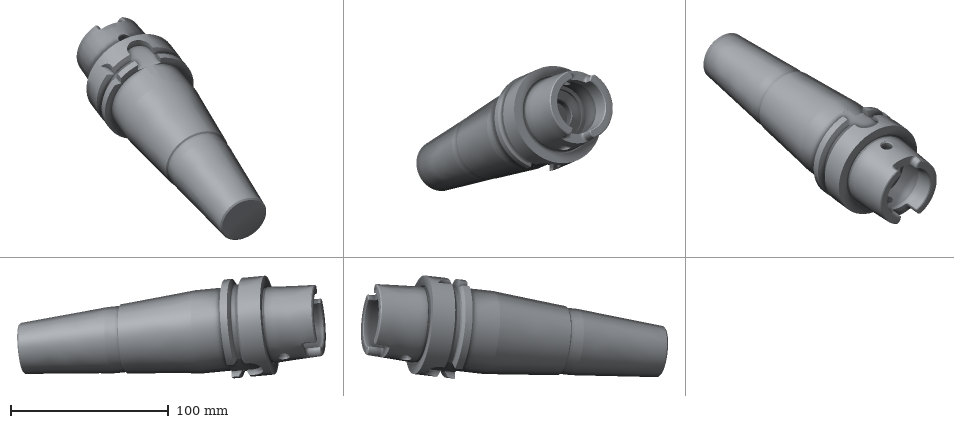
import cadquery as cq
import math

length = 192.0

shank_mouth_radius = 22.7
shank_root_radius = 24.2
shank_taper_end = 29.4
mouth_chamfer = 0.5

flange_start = 31.9
flange_end = 58.0
flange_radius = 31.5
groove_center = 50.0
groove_floor_half_width = 1.7
groove_mouth_half_width = 3.5
groove_flank_depth = 3.0
groove_depth = 3.8
groove_floor_fillet = 0.5

relief_start = 30.7
relief_slope_end = 31.3
relief_radius = 23.6
relief_depth = 0.8
relief_floor_radius = 24.4
relief_rim_radius = 25.2

body_radius = 26.5
body_end = 77.5
cone_end = 125.8
cone_end_radius = 22.0
collar_start = 126.5
collar_end = 134.5
collar_radius = 21.1
tip_radius = 16.3
tip_chamfer = 1.0

lip_radius = 17.0
lip_end = 12.7
chamber_radius = 18.5
chamber_cone_angle = 60.0
chamber_end = 28.8
recess_radius = 16.0
recess_end = 30.7
pilot_radius = 9.2
pilot_chamfer = 0.5
pilot_end = 36.5

drive_slot_half_width = 6.1
drive_slot_edge_radius = 4.2
drive_slot_flare_height = 20.7
top_drive_slot_depth = 6.1
bottom_drive_slot_depth = 10.0
drive_slot_floor_fillet = 2.0

cross_hole_x = 22.8
cross_hole_diameter = 7.5
cross_hole_rim_diameter = 8.6
cross_hole_rim_height = 23.8

keyway_start = 36.5
keyway_end = 65.9
keyway_width = 15.7
keyway_corner_radius = 7.7
body_flat_half_width = 2.3
keyway_floor = math.sqrt(body_radius**2 - body_flat_half_width**2)

notch_start = 36.9
notch_offset = 20.0
notch_corner_radius = 7.5


def make_body():
    floor_radius = flange_radius - groove_depth
    flank_radius = flange_radius - groove_flank_depth
    floor_left = groove_center - groove_floor_half_width
    floor_right = groove_center + groove_floor_half_width
    fillet = groove_floor_fillet
    return (
        cq.Workplane("XY")
        .moveTo(0, 0)
        .lineTo(0, shank_mouth_radius)
        .lineTo(shank_taper_end, shank_root_radius)
        .lineTo(relief_start, shank_root_radius)
        .lineTo(relief_slope_end, relief_radius)
        .lineTo(flange_start + relief_depth, relief_radius)
        .lineTo(flange_start + relief_depth, relief_floor_radius)
        .lineTo(flange_start, relief_rim_radius)
        .lineTo(flange_start, flange_radius)
        .lineTo(groove_center - groove_mouth_half_width, flange_radius)
        .lineTo(floor_left, flank_radius)
        .lineTo(floor_left, floor_radius + fillet)
        .radiusArc((floor_left + fillet, floor_radius), -fillet)
        .lineTo(floor_right - fillet, floor_radius)
        .radiusArc((floor_right, floor_radius + fillet), -fillet)
        .lineTo(floor_right, flank_radius)
        .lineTo(groove_center + groove_mouth_half_width, flange_radius)
        .lineTo(flange_end, flange_radius)
        .lineTo(flange_end, body_radius)
        .lineTo(body_end, body_radius)
        .lineTo(cone_end, cone_end_radius)
        .lineTo(collar_start, collar_radius)
        .lineTo(collar_end, collar_radius)
        .lineTo(length - tip_chamfer, tip_radius)
        .lineTo(length, tip_radius - tip_chamfer)
        .lineTo(length, 0)
        .close()
        .revolve(360, (0, 0, 0), (1, 0, 0))
    )


def make_bore():
    undercut = chamber_radius - lip_radius
    chamber_start = lip_end + undercut / math.tan(math.radians(chamber_cone_angle))
    outline = [
        (0, 0),
        (0, lip_radius),
        (lip_end, lip_radius),
        (chamber_start, chamber_radius),
        (chamber_end, chamber_radius),
        (chamber_end, recess_radius),
        (recess_end, recess_radius),
        (recess_end, pilot_radius + pilot_chamfer),
        (recess_end + pilot_chamfer, pilot_radius),
        (pilot_end, pilot_radius),
        (pilot_end, 0),
    ]
    return cq.Workplane("XY").polyline(outline).close().revolve(360, (0, 0, 0), (1, 0, 0))


def make_drive_slot(depth):
    """Slot on the +Z side whose side walls roll outward over rounded edges."""
    half = drive_slot_half_width
    edge = drive_slot_edge_radius
    flare = drive_slot_flare_height
    outside = flange_radius
    return (
        cq.Workplane("YZ")
        .moveTo(-half, 0)
        .lineTo(-half, flare - edge)
        .radiusArc((-half - edge, flare), -edge)
        .lineTo(-outside, flare)
        .lineTo(-outside, outside)
        .lineTo(outside, outside)
        .lineTo(outside, flare)
        .lineTo(half + edge, flare)
        .radiusArc((half, flare - edge), -edge)
        .lineTo(half, 0)
        .close()
        .extrude(depth)
        .faces(">X")
        .edges()
        .fillet(drive_slot_floor_fillet)
    )


def make_keyway():
    """Keyway on the +Z side with a flat floor and a rounded blind end."""
    return (
        cq.Workplane("XY", origin=(keyway_start, -keyway_width / 2, keyway_floor))
        .rect(keyway_end - keyway_start, keyway_width, centered=False)
        .extrude(flange_radius)
        .edges("|Z and <X")
        .fillet(keyway_corner_radius)
    )


def make_notch():
    return (
        cq.Workplane("XY", origin=(notch_start, -notch_offset - flange_radius, notch_offset))
        .rect(flange_end - notch_start, flange_radius, centered=False)
        .extrude(flange_radius)
        .edges("|Z and <X and >Y")
        .fillet(notch_corner_radius)
    )


def make_cross_hole():
    """Through hole along Z, countersunk at 45 degrees where it opens on the +Z side."""
    rim_width = (cross_hole_rim_diameter - cross_hole_diameter) / 2
    rim_plane = cq.Workplane("XY", origin=(cross_hole_x, 0, cross_hole_rim_height))
    countersink = (
        rim_plane.circle(cross_hole_rim_diameter / 2)
        .workplane(offset=-rim_width)
        .circle(cross_hole_diameter / 2)
        .loft()
    )
    drill = (
        cq.Workplane("XY", origin=(cross_hole_x, 0, 0))
        .circle(cross_hole_diameter / 2)
        .extrude(flange_radius, both=True)
    )
    clearance = rim_plane.circle(cross_hole_rim_diameter / 2).extrude(rim_width)
    return drill.union(countersink).union(clearance)


def turn_to_bottom(shape):
    return shape.rotate((0, 0, 0), (1, 0, 0), 180)


result = (
    make_body()
    .cut(make_bore())
    .cut(make_drive_slot(top_drive_slot_depth))
    .cut(turn_to_bottom(make_drive_slot(bottom_drive_slot_depth)))
    .faces("<X")
    .edges()
    .chamfer(mouth_chamfer)
    .cut(make_cross_hole())
    .cut(make_keyway())
    .cut(turn_to_bottom(make_keyway()))
    .cut(make_notch())
)